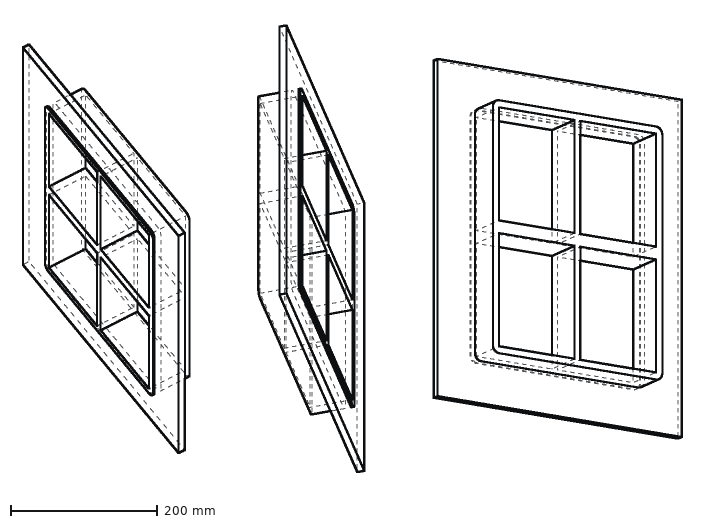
import cadquery as cq

plate_width = 391.0
plate_height = 479.0
plate_thickness = 10.0

flange_margin = 60.0
frame_width = plate_width - 2 * flange_margin
frame_height = plate_height - 2 * flange_margin
frame_depth = 60.0
frame_corner_radius = 10.0
frame_lip = 3.0

frame_wall = 10.0
mullion_width = 9.0
transom_height = 18.0

opening_width = (frame_width - 2 * frame_wall - mullion_width) / 2
opening_height = (frame_height - 2 * frame_wall - transom_height) / 2
opening_pitch_x = opening_width + mullion_width
opening_pitch_z = opening_height + transom_height


def upright_block(width, depth, height, front_y):
    """Box centred on X and Z, running toward +Y from front_y."""
    return cq.Workplane("XY").box(width, depth, height, centered=(True, False, True)).translate((0, front_y, 0))


plate = upright_block(plate_width, plate_thickness, plate_height, frame_lip)
frame = upright_block(frame_width, frame_depth, frame_height, 0)
frame = frame.edges("|Y").fillet(frame_corner_radius)

openings = (
    cq.Workplane("XZ")
    .rarray(opening_pitch_x, opening_pitch_z, 2, 2)
    .rect(opening_width, opening_height)
    .extrude(-frame_depth)
)

result = plate.union(frame).cut(openings)